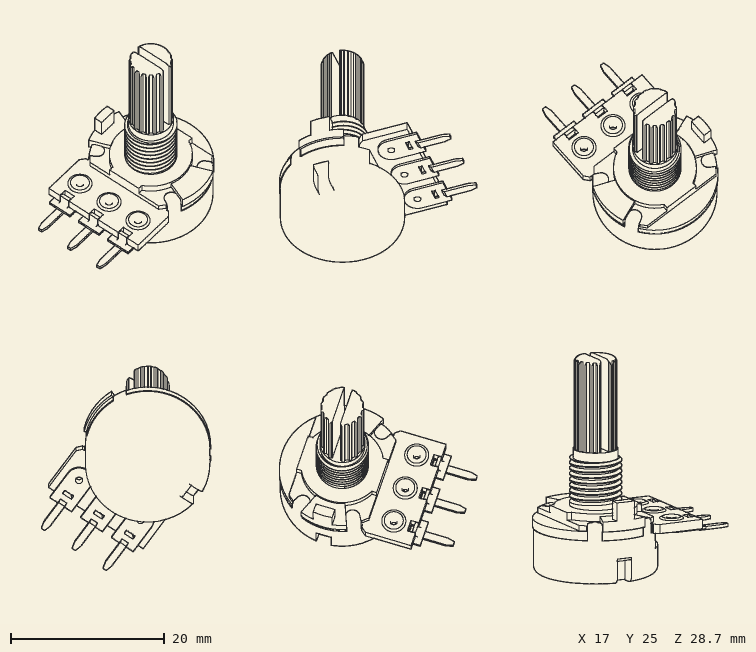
import cadquery as cq
import math


overall_width = 16.95
overall_depth = 24.97
total_height = 28.7

wafer_bottom = 5.95
wafer_top = 7.18
frame_top = 7.9
disc_top = 8.9
bushing_top = 15.18
collar_top = 16.42

cover_radius = 16.2 / 2
cover_bottom_fillet = 0.8
front_cut_y = -5.83
front_cut_z = 3.55
rear_slot_width = 2.07
rear_slot_top = 2.98
rear_slot_depth = 1.75
rear_slot_bend = 0.4

tab_angle = 28.5
tab_width = 1.92
tab_tip_radius = 6.15
tab_top = 7.98
tab_bend = 0.43

wafer_radius = 8.2
wafer_half_width = 15.0 / 2
wafer_front = -11.77
wafer_corner_y = -5.55
wafer_chamfer = (0.57, 0.7)

frame_half_depth = 5.45
frame_half_width = 5.77
frame_corner = (6.4, 4.7)
frame_side = (7.1, 3.0)
disc_radius = 5.4
disc_arm_width = 4.88
ear_radius = overall_width / 2
ear_half_angle = 21.5
ear_top = 8.55

lug_inner_x = -7.2
lug_width = 2.58
lug_top = 11.0

thread_radius = 3.42
thread_pitch = 0.75
thread_depth = 0.4
groove_width = 0.63
thread_start_angle = -157.0
thread_start_z = 9.2

collar_radius = 5.85 / 2
knurl_radius = 2.8
knurl_root_radius = 5.25 / 2
knurl_count = 18
knurl_floor_width = 0.37
knurl_mouth_width = 0.75
shaft_top_fillet = 0.8
driver_slot_width = 1.1

terminal_pitch = 4.88
rivet_y = -8.58
pad_radius = 3.47 / 2
pad_front = -12.75
pad_thickness = 0.35
rivet_radius = 3.13 / 2
rivet_crown_radius = 1.23
rivet_mouth_radius = 0.85
rivet_hole_radius = 0.9 / 2
rivet_height = 0.2
notch_width = 1.52
notch_depth = 1.1
leg_width = 1.38
leg_thickness = 0.45
leg_bend = 0.3
pad_hole_gap = 0.11
pin_width = 1.0
pin_tip_width = 0.52
pin_thickness = 0.43
pin_bend = 0.4
pin_start_y = -12.08
pin_taper_y = -15.8
pin_end_y = wafer_radius - overall_depth


def cylinder(radius, z_low, z_high):
    return cq.Workplane("XY").workplane(offset=z_low).circle(radius).extrude(z_high - z_low)


def block(x_range, y_range, z_range):
    lows, highs = zip(x_range, y_range, z_range)
    size = [high - low for low, high in zip(lows, highs)]
    return cq.Workplane("XY").box(*size, centered=False).translate(lows)


def prism(points, z_low, z_high):
    return cq.Workplane("XY").workplane(offset=z_low).polyline(points).close().extrude(z_high - z_low)


def ring_of_tabs(shape):
    """Place a shape lying along +X at the four tab positions."""
    copies = cq.Workplane("XY")
    for angle in (tab_angle, 180 - tab_angle, 180 + tab_angle, -tab_angle):
        copies = copies.add(shape.rotate((0, 0, 0), (0, 0, 1), angle))
    return copies.combine()


def make_rear_slot():
    """Slot on the -X side: rounded at its lip, at the back of its roof and at the cover floor."""
    outer_x = -math.sqrt(cover_radius**2 - (rear_slot_width / 2) ** 2)
    back_x = outer_x + rear_slot_depth
    lip_z = rear_slot_top + rear_slot_bend
    near = rear_slot_bend * (1 - math.sqrt(0.5))
    return (
        cq.Workplane("XZ")
        .moveTo(-ear_radius, 0)
        .lineTo(back_x + rear_slot_bend, 0)
        .threePointArc((back_x + near, near), (back_x, rear_slot_bend))
        .lineTo(back_x, rear_slot_top - rear_slot_bend)
        .threePointArc((back_x - near, rear_slot_top - near), (back_x - rear_slot_bend, rear_slot_top))
        .lineTo(outer_x + rear_slot_bend, rear_slot_top)
        .threePointArc((outer_x + near, rear_slot_top + near), (outer_x, lip_z))
        .lineTo(-ear_radius, lip_z)
        .close()
        .extrude(rear_slot_width / 2, both=True)
    )


def make_cover():
    cover = cylinder(cover_radius, 0, wafer_bottom).faces("<Z").edges().fillet(cover_bottom_fillet)
    front_cut = block(
        (-cover_radius, cover_radius), (-cover_radius, front_cut_y), (front_cut_z, wafer_bottom)
    )
    return cover.cut(front_cut).cut(make_rear_slot())


def make_tabs():
    """Return the untrimmed tab strips and the tabs trimmed to the rounded cover rim."""
    tip_center = tab_tip_radius + tab_width / 2
    strip = block(
        (tip_center, ear_radius + tab_width), (-tab_width / 2, tab_width / 2), (wafer_bottom, tab_top)
    )
    tip = cylinder(tab_width / 2, wafer_bottom, tab_top).translate((tip_center, 0, 0))
    strips = ring_of_tabs(strip.union(tip))
    rim = cylinder(cover_radius, wafer_bottom, tab_top).faces(">Z").edges().fillet(tab_bend)
    return strips, strips.intersect(rim)


def make_wafer(tab_strips):
    chamfer_x, chamfer_y = wafer_chamfer
    shoulder_x = wafer_half_width - chamfer_x
    shoulder_y = wafer_corner_y + chamfer_y
    right_side = [
        (shoulder_x, shoulder_y),
        (wafer_half_width, wafer_corner_y),
        (wafer_half_width, wafer_front),
    ]
    left_side = [(-x, y) for x, y in reversed(right_side)]
    board = prism(right_side + left_side, wafer_bottom, wafer_top)
    return cylinder(wafer_radius, wafer_bottom, wafer_top).union(board).cut(tab_strips)


def make_frame():
    upper_right = [frame_side, frame_corner, (frame_half_width, frame_half_depth)]
    upper = upper_right + [(-x, y) for x, y in reversed(upper_right)]
    lower = [(x, -y) for x, y in reversed(upper)]
    plate = prism(upper + lower, wafer_top, frame_top)

    arms = block(
        (-disc_arm_width / 2, disc_arm_width / 2),
        (-frame_half_depth, frame_half_depth),
        (frame_top, disc_top),
    )
    frame = plate.union(cylinder(disc_radius, frame_top, disc_top)).union(arms)

    wedge_x = 2 * ear_radius
    wedge_y = wedge_x * math.tan(math.radians(ear_half_angle))
    for side in (-1, 1):
        wedge_points = [(0, 0), (side * wedge_x, -wedge_y), (side * wedge_x, wedge_y)]
        wedge = prism(wedge_points, wafer_top, ear_top)
        frame = frame.union(wedge.intersect(cylinder(ear_radius, wafer_top, ear_top)))

    lug = block((-ear_radius, lug_inner_x), (-lug_width / 2, lug_width / 2), (wafer_top, lug_top))
    return frame.union(lug.intersect(cylinder(ear_radius, wafer_top, lug_top)))


def make_bushing():
    root_radius = thread_radius - thread_depth
    groove_top = bushing_top + thread_pitch
    blank = cylinder(thread_radius, disc_top, groove_top + thread_pitch)
    helix = cq.Wire.makeHelix(thread_pitch, groove_top - thread_start_z, root_radius)
    clearance = 0.03
    half_mouth = groove_width / 2 * (thread_depth + clearance) / thread_depth
    groove = (
        cq.Workplane("XZ")
        .moveTo(root_radius, 0)
        .lineTo(thread_radius + clearance, half_mouth)
        .lineTo(thread_radius + clearance, -half_mouth)
        .close()
        .sweep(cq.Workplane(helix), isFrenet=True)
        .translate((0, 0, thread_start_z))
    )
    threaded = blank.cut(groove).rotate((0, 0, 0), (0, 0, 1), thread_start_angle)
    return threaded.intersect(cylinder(2 * thread_radius, disc_top, bushing_top))


def make_shaft():
    knurled = cylinder(knurl_radius, collar_top, total_height).faces(">Z").edges().fillet(shaft_top_fillet)
    outer_radius = 2 * knurl_radius - knurl_root_radius
    outer_half_width = knurl_mouth_width - knurl_floor_width / 2
    groove_points = [
        (knurl_root_radius, -knurl_floor_width / 2),
        (outer_radius, -outer_half_width),
        (outer_radius, outer_half_width),
        (knurl_root_radius, knurl_floor_width / 2),
    ]
    groove = prism(groove_points, collar_top, total_height)
    for index in range(knurl_count):
        angle = 90 + index * 360 / knurl_count
        knurled = knurled.cut(groove.rotate((0, 0, 0), (0, 0, 1), angle))
    driver_slot = block(
        (-knurl_radius, knurl_radius),
        (-driver_slot_width / 2, driver_slot_width / 2),
        (collar_top, total_height),
    )
    return cylinder(collar_radius, bushing_top, collar_top).union(knurled.cut(driver_slot))


def make_rivet():
    """Rivet crown on the wafer, centered on X = 0."""
    crown_z = wafer_top + rivet_height
    profile = [
        (0, wafer_top),
        (rivet_radius, wafer_top),
        (rivet_crown_radius, crown_z),
        (0, crown_z),
    ]
    crown = cq.Workplane("XZ").polyline(profile).close().revolve(360, (0, 0), (0, 1))
    return crown.translate((0, rivet_y, 0))


def make_rivet_hole():
    """Through hole whose mouth is rounded over into the rivet crown."""
    crown_z = wafer_top + rivet_height
    round_radius = rivet_mouth_radius - rivet_hole_radius
    arc_inset = round_radius * (1 - math.sqrt(0.5))
    hole = (
        cq.Workplane("XZ")
        .moveTo(0, wafer_bottom - pad_thickness)
        .lineTo(rivet_hole_radius, wafer_bottom - pad_thickness)
        .lineTo(rivet_hole_radius, crown_z - round_radius)
        .threePointArc(
            (rivet_hole_radius + arc_inset, crown_z - arc_inset),
            (rivet_mouth_radius, crown_z),
        )
        .lineTo(0, crown_z)
        .close()
        .revolve(360, (0, 0), (0, 1))
    )
    return hole.translate((0, rivet_y, 0))


def make_terminal():
    """Pad, bent leg and pin of one terminal, centered on X = 0."""
    pad_bottom = wafer_bottom - pad_thickness
    leg_back = wafer_front + leg_thickness
    notch_back = wafer_front + notch_depth

    pad = cylinder(pad_radius, pad_bottom, wafer_bottom).translate((0, rivet_y, 0))
    pad = pad.union(block((-pad_radius, pad_radius), (pad_front, rivet_y), (pad_bottom, wafer_bottom)))
    pad = pad.cut(
        block(
            (-leg_width / 2, leg_width / 2),
            (leg_back, notch_back - pad_hole_gap),
            (pad_bottom, wafer_bottom),
        )
    )

    bend_offset = leg_bend * (1 - math.sqrt(0.5))
    leg = (
        cq.Workplane("YZ")
        .moveTo(leg_back, wafer_bottom)
        .lineTo(leg_back, wafer_top)
        .lineTo(wafer_front, wafer_top)
        .lineTo(wafer_front, wafer_bottom + leg_bend)
        .threePointArc(
            (wafer_front - bend_offset, wafer_bottom + bend_offset),
            (wafer_front - leg_bend, wafer_bottom),
        )
        .close()
        .extrude(leg_width / 2, both=True)
    )

    pin_outline = [
        (-pin_width / 2, pin_start_y),
        (-pin_width / 2, pin_taper_y),
        (-pin_tip_width / 2, pin_end_y),
        (pin_tip_width / 2, pin_end_y),
        (pin_width / 2, pin_taper_y),
        (pin_width / 2, pin_start_y),
    ]
    pin = prism(pin_outline, pad_bottom - pin_thickness, pad_bottom)
    pin = pin.edges(">Y and <Z").chamfer(pin_bend)
    return pad.union(leg).union(pin)


def add_terminals(body):
    notch = block(
        (-notch_width / 2, notch_width / 2),
        (wafer_front, wafer_front + notch_depth),
        (wafer_bottom, wafer_top),
    )
    terminal = make_terminal().union(make_rivet())
    hole = make_rivet_hole()
    for x in (-terminal_pitch, 0, terminal_pitch):
        offset = (x, 0, 0)
        body = body.cut(notch.translate(offset))
        body = body.union(terminal.translate(offset))
        body = body.cut(hole.translate(offset))
    return body


tab_strips, tabs = make_tabs()
body = make_cover().union(tabs).union(make_wafer(tab_strips)).union(make_frame())
body = add_terminals(body)
result = body.union(make_bushing()).union(make_shaft())